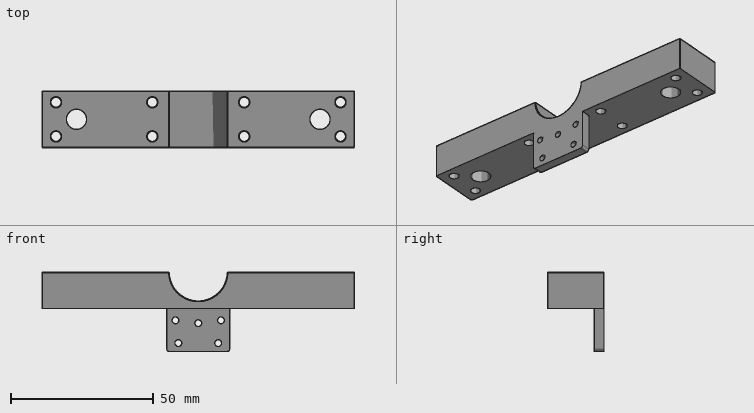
import cadquery as cq

TOTAL_HEIGHT = 28.0

BAR_LENGTH = 110.0
BAR_WIDTH = 20.0
BAR_HEIGHT = 12.85
EDGE_CHAMFER = 0.3

SADDLE_RADIUS = 10.15

SCREW_HOLE_DIAMETER = 3.5
SCREW_MOUTH_DIAMETER = 4.0
SCREW_HOLE_X = (16.15, 50.0)
SCREW_HOLE_Y = 6.0
LARGE_HOLE_DIAMETER = 7.0
LARGE_HOLE_X = 42.8

TAB_WIDTH = 22.2
TAB_HEIGHT = TOTAL_HEIGHT - BAR_HEIGHT
TAB_THICKNESS = 3.5
TAB_CORNER_RADIUS = 1.0
TAB_HOLE_DIAMETER = 2.3

UPPER_TAB_HOLE_X = 8.0
UPPER_TAB_HOLE_RISE = 11.0
MIDDLE_TAB_HOLE_RISE = 10.0
LOWER_TAB_HOLE_X = 7.0
LOWER_TAB_HOLE_RISE = 3.0


def make_bar():
    """Bar with its saddle, chamfered on every outer edge except those of the underside."""
    bar = cq.Workplane("XY").box(BAR_LENGTH, BAR_WIDTH, BAR_HEIGHT, centered=(True, True, False))
    saddle = (
        cq.Workplane("XZ")
        .center(0, BAR_HEIGHT)
        .circle(SADDLE_RADIUS)
        .extrude(BAR_WIDTH / 2, both=True)
    )
    bar = bar.cut(saddle)
    return bar.faces(">Z or <Y or >Y").edges("not(<Z)").chamfer(EDGE_CHAMFER)


def make_tab():
    """Plate with its lower corners rounded and five holes through it."""
    tab = (
        cq.Workplane("XY")
        .box(TAB_WIDTH, TAB_THICKNESS, TAB_HEIGHT)
        .translate((0, (BAR_WIDTH - TAB_THICKNESS) / 2, -TAB_HEIGHT / 2))
        .edges("|Y and <Z")
        .fillet(TAB_CORNER_RADIUS)
    )
    hole_centres = [(0, MIDDLE_TAB_HOLE_RISE)]
    for side in (-1, 1):
        hole_centres.append((side * UPPER_TAB_HOLE_X, UPPER_TAB_HOLE_RISE))
        hole_centres.append((side * LOWER_TAB_HOLE_X, LOWER_TAB_HOLE_RISE))
    holes = (
        cq.Workplane("XZ")
        .center(0, -TAB_HEIGHT)
        .pushPoints(hole_centres)
        .circle(TAB_HOLE_DIAMETER / 2)
        .extrude(-BAR_WIDTH)
    )
    return tab.cut(holes)


def drill_bar(body):
    """Drill the countersunk screw holes and the two large holes down through the bar."""
    screw_centres = [
        (side * x, row * SCREW_HOLE_Y)
        for side in (-1, 1)
        for row in (-1, 1)
        for x in SCREW_HOLE_X
    ]
    top = cq.Workplane("XY").workplane(offset=BAR_HEIGHT)
    screw_holes = top.pushPoints(screw_centres).circle(SCREW_HOLE_DIAMETER / 2).extrude(-BAR_HEIGHT)
    large_centres = [(-LARGE_HOLE_X, 0), (LARGE_HOLE_X, 0)]
    large_holes = top.pushPoints(large_centres).circle(LARGE_HOLE_DIAMETER / 2).extrude(-BAR_HEIGHT)
    body = body.cut(screw_holes).cut(large_holes)

    mouth_depth = (SCREW_MOUTH_DIAMETER - SCREW_HOLE_DIAMETER) / 2
    for x, y in screw_centres:
        mouth = cq.Solid.makeCone(
            SCREW_HOLE_DIAMETER / 2,
            SCREW_MOUTH_DIAMETER / 2,
            mouth_depth,
            pnt=cq.Vector(x, y, BAR_HEIGHT - mouth_depth),
        )
        body = body.cut(cq.Workplane(mouth))
    return body


result = drill_bar(make_bar().union(make_tab()))